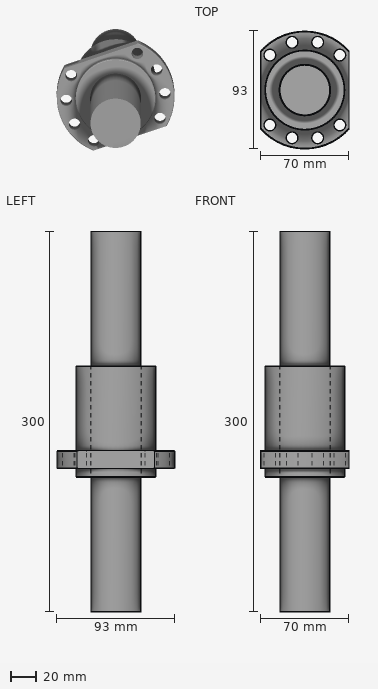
import cadquery as cq

shaft_length = 300.0
shaft_diameter = 39.5

nut_length = 88.0
nut_diameter = 63.0
nut_edge_chamfer = 0.5
bore_clearance = 0.3
bore_diameter = shaft_diameter + 2 * bore_clearance
nut_bottom = -nut_length / 2

flange_diameter = 93.0
flange_width = 70.0
flange_thickness = 14.0
flange_edge_chamfer = 0.5
lip_length = 7.0
flange_bottom = nut_bottom + lip_length

hole_diameter = 9.0
hole_circle_radius = 39.0
hole_angles = [side + offset for side in (90, 270) for offset in (-45, -15, 15, 45)]


def cylinder(diameter, length, bottom):
    return cq.Workplane("XY").workplane(offset=bottom).circle(diameter / 2).extrude(length)


def make_shaft():
    return cylinder(shaft_diameter, shaft_length, -shaft_length / 2)


def make_flange():
    disc = cylinder(flange_diameter, flange_thickness, flange_bottom).edges().chamfer(flange_edge_chamfer)
    flats = (
        cq.Workplane("XY")
        .workplane(offset=flange_bottom)
        .rect(flange_width, flange_diameter)
        .extrude(flange_thickness)
    )
    return disc.intersect(flats)


def cut_mounting_holes(body):
    drill = cylinder(hole_diameter, flange_thickness, flange_bottom).translate((hole_circle_radius, 0, 0))
    for angle in hole_angles:
        body = body.cut(drill.rotate((0, 0, 0), (0, 0, 1), angle))
    return body


def make_nut():
    barrel = cylinder(nut_diameter, nut_length, nut_bottom).edges().chamfer(nut_edge_chamfer)
    bore = cylinder(bore_diameter, nut_length, nut_bottom)
    return cut_mounting_holes(barrel.union(make_flange())).cut(bore)


shaft = make_shaft()
nut = make_nut()
result = cq.Compound.makeCompound([shaft.val(), *nut.solids().vals()])